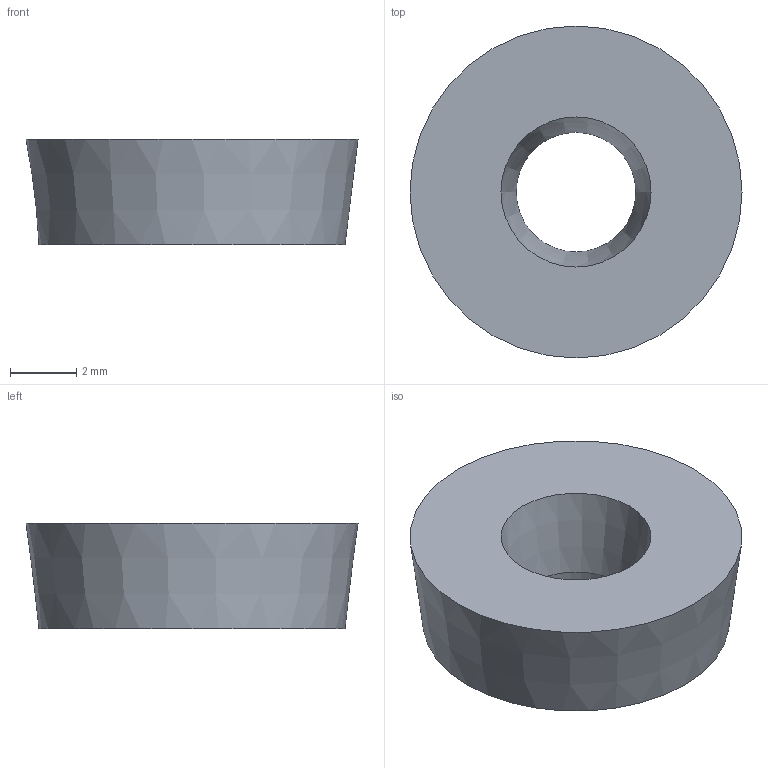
import cadquery as cq
import math

top_diameter = 10.0
thickness = 3.18
relief_angle = 7.0
countersink_diameter = 4.52
bore_diameter = 3.6
countersink_depth = 2.58

top_radius = top_diameter / 2
bottom_radius = top_radius - thickness * math.tan(math.radians(relief_angle))
countersink_radius = countersink_diameter / 2
bore_radius = bore_diameter / 2
bore_top = thickness - countersink_depth

half_section = (
    cq.Workplane("XZ")
    .moveTo(bore_radius, 0)
    .lineTo(bottom_radius, 0)
    .lineTo(top_radius, thickness)
    .lineTo(countersink_radius, thickness)
    .lineTo(bore_radius, bore_top)
    .close()
)

result = half_section.revolve(360, (0, 0, 0), (0, 1, 0))